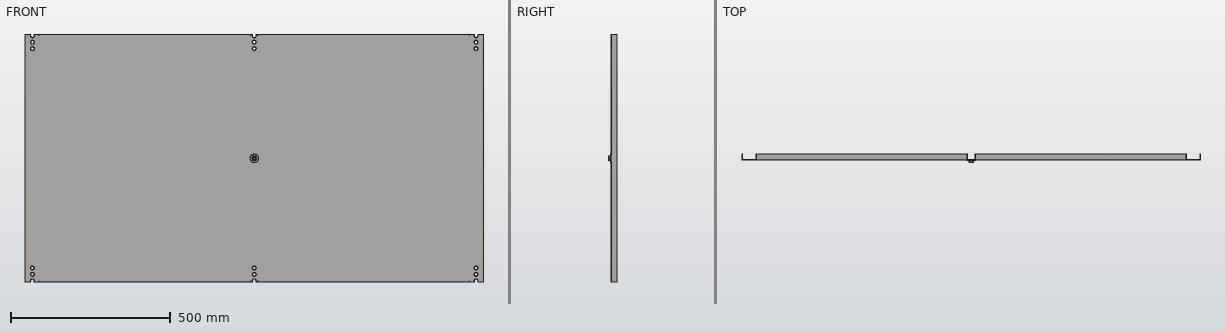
import cadquery as cq
import math

length = 1435.0
height = 775.0
depth = 27.0

sheet = 2.0
bend_radius = 3.5
flange_end_inset = 45.0
flange_gap = 25.0

hole_diameter = 11.0
hole_end_inset = 23.8
first_hole_inset = 5.0
hole_pitch = 20.0
holes_per_row = 3

washer_diameter = 26.0
washer_thickness = 1.6
nut_height = 6.6
nut_width = 13.2
bore_diameter = 7.7

back_y = depth / 2
nut_front_y = -depth / 2
nut_back_y = nut_front_y + nut_height
front_y = nut_back_y + washer_thickness
flange_depth = back_y - front_y


def y_cylinder(diameter, start_y, end_y):
    """A cylinder on the panel's central Y axis."""
    plane = cq.Workplane("XZ", origin=(0, start_y, 0))
    return plane.circle(diameter / 2).extrude(start_y - end_y)


def flange(edge_distance, run):
    """An L-shaped bend and flange on the +X edge, reaching `edge_distance`, `run` long in Z."""
    bend_start = edge_distance - bend_radius
    bend_end_y = front_y + bend_radius
    inner_radius = bend_radius - sheet
    return (
        cq.Workplane("XY", origin=(0, 0, -run / 2))
        .moveTo(bend_start, front_y)
        .radiusArc((edge_distance, bend_end_y), -bend_radius)
        .lineTo(edge_distance, back_y)
        .lineTo(edge_distance - sheet, back_y)
        .lineTo(edge_distance - sheet, bend_end_y)
        .radiusArc((bend_start, front_y + sheet), inner_radius)
        .close()
        .extrude(run)
    )


def make_sheet():
    """The flat sheet, with full-height tabs at the corners and in the middle."""
    flat_length = length - 2 * bend_radius
    flat_height = height - 2 * bend_radius
    flat_y = front_y + sheet / 2
    tab_length = flange_end_inset - bend_radius
    flat = cq.Workplane("XY").box(flat_length, sheet, flat_height)
    end_tab = cq.Workplane("XY").box(tab_length, sheet, height)
    middle_tab = cq.Workplane("XY").box(flange_gap, sheet, height)
    tab_x = (flat_length - tab_length) / 2
    for side in (-1, 1):
        flat = flat.union(end_tab.translate((side * tab_x, 0, 0)))
    return flat.union(middle_tab).translate((0, flat_y, 0))


def add_flanges(panel):
    """Full-height flanges on the ends, and two flanges on each long edge."""
    end_flange = flange(length / 2, height)
    long_run = length / 2 - flange_end_inset - flange_gap / 2
    long_offset = (flange_gap + long_run) / 2
    long_flange = flange(height / 2, long_run)
    for half_turn in (0, 1):
        angle = 180 * half_turn
        panel = panel.union(end_flange.rotate((0, 0, 0), (0, 1, 0), angle))
        edge = long_flange.rotate((0, 0, 0), (0, 1, 0), angle + 90)
        for side in (-1, 1):
            panel = panel.union(edge.translate((side * long_offset, 0, 0)))
    return panel


def hole_row_cutter():
    """A row of holes running down from an edge at Z = 0, the first one open to that edge."""
    hole_centres = [(0, -first_hole_inset - i * hole_pitch) for i in range(holes_per_row)]
    plane = cq.Workplane("XZ", origin=(0, back_y, 0))
    holes = plane.pushPoints(hole_centres).circle(hole_diameter / 2).extrude(flange_depth)
    notch = plane.rect(hole_diameter, 2 * first_hole_inset).extrude(flange_depth)
    return holes.union(notch)


def make_panel():
    """The bent sheet with a row of holes at the ends and middle of both long edges."""
    panel = add_flanges(make_sheet())
    row_x = length / 2 - hole_end_inset
    for x in (-row_x, 0, row_x):
        top_row = hole_row_cutter().translate((x, 0, height / 2))
        panel = panel.cut(top_row).cut(top_row.mirror("XY"))
    return panel


def make_washer():
    """A flat ring against the front of the panel."""
    disc = y_cylinder(washer_diameter, front_y, nut_back_y)
    return disc.cut(y_cylinder(bore_diameter, front_y, nut_back_y))


def make_nut():
    """A hexagon with two corners on the X axis, so its flats face up and down."""
    across_corners = nut_width / math.cos(math.pi / 6)
    plane = cq.Workplane("XZ", origin=(0, nut_back_y, 0))
    hexagon = plane.polygon(6, across_corners).extrude(nut_height)
    return hexagon.cut(y_cylinder(bore_diameter, nut_back_y, nut_front_y))


panel = make_panel()
washer = make_washer()
nut = make_nut()
result = cq.Compound.makeCompound([panel.val(), washer.val(), nut.val()])